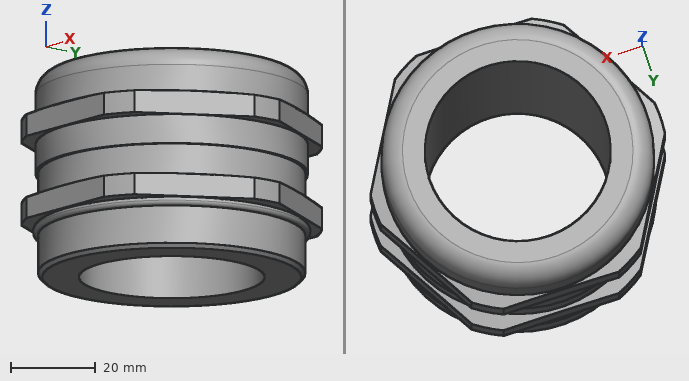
import cadquery as cq
import math

hex_corner_diameter = 71.0
hex_across_flats = 65.0
hex_crown_drop = 0.5

bore_diameter = 43.8
body_diameter = 63.05
cap_diameter = 64.25
seal_diameter = 65.4

seal_bottom = 10.0
lower_hex_bottom = 12.1
lower_hex_top = 17.7
cap_bottom = 25.0
upper_hex_bottom = 31.95
upper_hex_top = 37.7
total_height = 49.0

bottom_chamfer = 1.0
cap_fillet = 5.0


def cylinder(diameter, bottom, top):
    """Upright cylinder on the Z axis."""
    return cq.Workplane("XY").workplane(offset=bottom).circle(diameter / 2).extrude(top - bottom)


def hex_collar(bottom, top, neck_diameter):
    """Hexagon with flats facing +Y and -Y, turned round at the corners and sloping down from the neck."""
    collar_radius = hex_corner_diameter / 2
    neck_radius = neck_diameter / 2
    turned_blank = (
        cq.Workplane("XZ")
        .moveTo(0, bottom)
        .lineTo(collar_radius, bottom)
        .lineTo(collar_radius, top - hex_crown_drop)
        .lineTo(neck_radius, top)
        .lineTo(0, top)
        .close()
        .revolve(360, (0, 0, 0), (0, 1, 0))
    )
    hexagon = (
        cq.Workplane("XY")
        .workplane(offset=bottom)
        .polygon(6, hex_across_flats / math.cos(math.pi / 6))
        .extrude(top - bottom)
    )
    return turned_blank.intersect(hexagon)


body = cylinder(body_diameter, 0, cap_bottom).faces("<Z").chamfer(bottom_chamfer)

seal_section_radius = (lower_hex_bottom - seal_bottom) / 2
seal = (
    cq.Workplane("XZ")
    .moveTo(seal_diameter / 2 - seal_section_radius, seal_bottom + seal_section_radius)
    .circle(seal_section_radius)
    .revolve(360, (0, 0, 0), (0, 1, 0))
)

cap = cylinder(cap_diameter, cap_bottom, total_height).faces(">Z").edges().fillet(cap_fillet)

lower_hex = hex_collar(lower_hex_bottom, lower_hex_top, body_diameter)
upper_hex = hex_collar(upper_hex_bottom, upper_hex_top, cap_diameter)
bore = cylinder(bore_diameter, 0, total_height)
result = body.union(seal).union(cap).union(lower_hex).union(upper_hex).cut(bore)